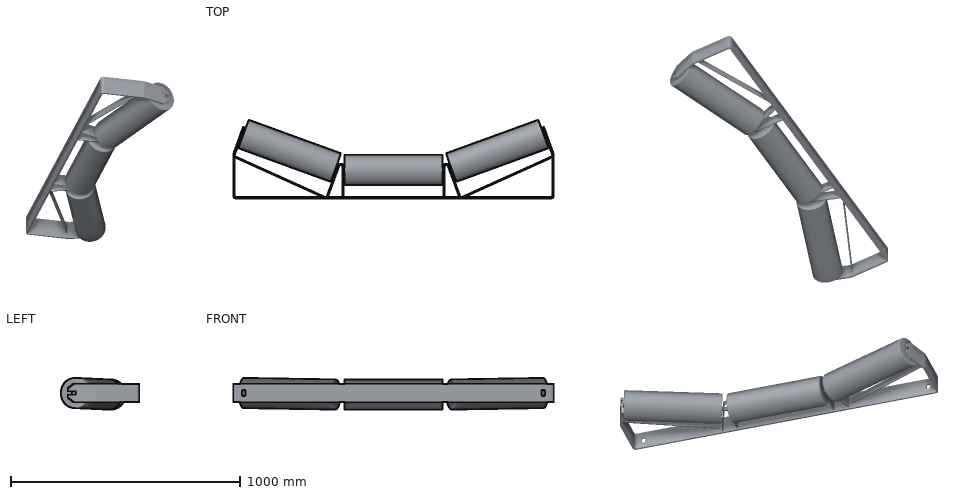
import cadquery as cq
import math


frame_length = 1400.0
frame_width = 80.0
frame_plate = 8.0
bend_radius = 6.0
trough_angle = 20.0
upright_bend_y = 192.5
upright_tip_y = 312.4
tip_chamfer_along = 26.0
tip_chamfer_across = 19.0

bolt_slot_inset = 47.0
bolt_slot_width = 17.0
bolt_slot_length = 26.0

roller_diameter = 133.0
roller_length = 428.0
roller_edge_radius = 4.0
shaft_diameter = 20.0
shaft_flats = 16.0
slot_clearance = 0.5
forward_drop = 7.0
middle_roller_y = 125.5
wing_roller_top_y = 342.89

middle_gap = 4.0
wing_outer_gap = 5.0
wing_inner_gap = 5.5

bracket_plate = 6.0
bracket_height = 50.0
bracket_top_y = 153.0

brace_thickness = 5.0
brace_height = 30.0
brace_top_y = 185.0
brace_foot_x = -300.0

half_length = frame_length / 2
roller_radius = roller_diameter / 2
slope = math.radians(trough_angle)
slope_sin = math.sin(slope)
slope_cos = math.cos(slope)
slope_tan = math.tan(slope)

middle_stub = middle_gap + bracket_plate
wing_outer_stub = wing_outer_gap + frame_plate
wing_inner_stub = wing_inner_gap + bracket_plate


def upright_face_x(y):
    """X of the outer face of the leaning part of the left upright."""
    return -half_length + (y - upright_bend_y) * slope_tan


middle_seat = cq.Plane((0, middle_roller_y, -forward_drop), xDir=(1, 0, 0), normal=(0, 0, 1))

wing_end_y = (
    wing_roller_top_y
    - roller_edge_radius
    - (roller_radius - roller_edge_radius) * slope_cos
    + (roller_edge_radius + wing_outer_stub) * slope_sin
)
wing_tilt = math.asin(forward_drop / (wing_outer_stub + roller_length + wing_inner_stub))
wing_axis = cq.Vector(
    slope_cos * math.cos(wing_tilt),
    -slope_sin * math.cos(wing_tilt),
    -math.sin(wing_tilt),
)
wing_outer_end = cq.Vector(upright_face_x(wing_end_y), wing_end_y, 0)
wing_center = wing_outer_end + wing_axis * (wing_outer_stub + roller_length / 2)
wing_inner_end = wing_center + wing_axis * (roller_length / 2 + wing_inner_stub)
wing_slot_direction = cq.Vector(slope_sin, slope_cos, 0)
wing_seat = cq.Plane(wing_center, xDir=wing_axis, normal=wing_axis.cross(wing_slot_direction))


def mirrored(body):
    return body.mirror("YZ")


def placed(body, seat):
    """Move a body built along the X axis onto a roller seat."""
    return cq.Workplane(body.val().moved(cq.Location(seat)))


def rod(diameter, length):
    """Cylinder along X, centred on the origin."""
    return cq.Workplane("YZ", origin=(-length / 2, 0, 0)).circle(diameter / 2).extrude(length)


def rounded(body, points, radius):
    """Round the Z edges whose midpoints are given."""
    for point in points:
        body = body.edges(cq.selectors.NearestToPointSelector(point)).fillet(radius)
    return body


def make_roller(seat, left_stub, right_stub):
    """Roller with rounded rims and a shaft flattened on its two Z sides."""
    shell = rod(roller_diameter, roller_length).faces("<X or >X").edges().fillet(roller_edge_radius)
    shaft_length = left_stub + roller_length + right_stub
    flats = cq.Workplane("XY").box(shaft_length, shaft_diameter, shaft_flats)
    shaft = rod(shaft_diameter, shaft_length).intersect(flats)
    shaft = shaft.translate(((right_stub - left_stub) / 2, 0, 0))
    return placed(shell.union(shaft), seat)


def shaft_slots(seat):
    """Cutter for the slots, open at the top, that hold the two shaft ends of one roller."""
    width = shaft_flats + 2 * slot_clearance
    bore_diameter = shaft_diameter + 2 * slot_clearance
    reach = roller_length + roller_diameter
    floor = rod(bore_diameter, reach).intersect(cq.Workplane("XY").box(reach, bore_diameter, width))
    mouth = cq.Workplane("XY").box(reach, roller_diameter, width, centered=(True, False, True))
    return placed(floor.union(mouth), seat)


def tip_corner(tip, side):
    """Cutter for one chamfered corner of the left upright's tip, on the +Z or -Z side."""
    leaning_face = cq.Plane(
        (*tip, 0), xDir=(slope_sin, slope_cos, 0), normal=(slope_cos, -slope_sin, 0)
    )
    edge = side * frame_width / 2
    return (
        cq.Workplane(leaning_face)
        .polyline([
            (0, edge),
            (-tip_chamfer_along, edge),
            (0, edge - side * tip_chamfer_across),
        ])
        .close()
        .extrude(frame_plate)
    )


def make_frame():
    """Base strip with both ends bent up into uprights whose tops lean along the wing roller ends."""
    wall_x = -half_length + frame_plate
    inner_bend_y = upright_bend_y - frame_plate * math.tan(slope / 2)
    tip = (upright_face_x(upright_tip_y), upright_tip_y)
    tip_inner = (tip[0] + frame_plate * slope_cos, tip[1] - frame_plate * slope_sin)
    half = (
        cq.Workplane("XY")
        .polyline([
            (0, 0),
            (-half_length, 0),
            (-half_length, upright_bend_y),
            tip,
            tip_inner,
            (wall_x, inner_bend_y),
            (wall_x, frame_plate),
            (0, frame_plate),
        ])
        .close()
        .extrude(frame_width / 2, both=True)
    )
    outer_bends = [(-half_length, 0, 0), (-half_length, upright_bend_y, 0)]
    inner_bends = [(wall_x, frame_plate, 0), (wall_x, inner_bend_y, 0)]
    half = rounded(half, outer_bends, bend_radius + frame_plate)
    half = rounded(half, inner_bends, bend_radius)

    for side in (-1, 1):
        half = half.cut(tip_corner(tip, side))

    bolt_slot = (
        cq.Workplane("XZ")
        .center(-half_length + bolt_slot_inset, 0)
        .slot2D(bolt_slot_length, bolt_slot_width, 90)
        .extrude(-frame_plate)
    )
    half = half.cut(bolt_slot).cut(shaft_slots(wing_seat))
    return half.union(mirrored(half))


def make_bracket():
    """Left inner bracket: a post for the middle roller, folded over into a leg for the wing roller."""
    def leg_near_x(y):
        """X of the leg's face toward the post."""
        return wing_inner_end.x + (y - wing_inner_end.y) * slope_tan

    def leg_far_x(y):
        """X of the leg's face toward the wing roller."""
        return leg_near_x(y) - bracket_plate / slope_cos

    foot_y = frame_plate
    ceiling_y = bracket_top_y - bracket_plate
    post_x = -roller_length / 2 - middle_gap
    post_back_x = post_x - bracket_plate
    bracket = (
        cq.Workplane("XY", origin=(0, 0, -forward_drop))
        .polyline([
            (post_x, foot_y),
            (post_x, bracket_top_y),
            (leg_far_x(bracket_top_y), bracket_top_y),
            (leg_far_x(foot_y), foot_y),
            (leg_near_x(foot_y), foot_y),
            (leg_near_x(ceiling_y), ceiling_y),
            (post_back_x, ceiling_y),
            (post_back_x, foot_y),
        ])
        .close()
        .extrude(bracket_height / 2, both=True)
    )
    outer_bends = [
        (post_x, bracket_top_y, -forward_drop),
        (leg_far_x(bracket_top_y), bracket_top_y, -forward_drop),
    ]
    inner_bends = [
        (leg_near_x(ceiling_y), ceiling_y, -forward_drop),
        (post_back_x, ceiling_y, -forward_drop),
    ]
    bracket = rounded(bracket, outer_bends, bend_radius + bracket_plate)
    bracket = rounded(bracket, inner_bends, bend_radius)
    return bracket.cut(shaft_slots(wing_seat)).cut(shaft_slots(middle_seat))


def make_brace():
    """Left flat bar from the upright down to the base, its ends cut to lie on both."""
    wall_x = -half_length + frame_plate
    run = brace_foot_x - wall_x
    rise = brace_top_y - frame_plate
    span = math.hypot(run, rise)
    wall_cut = brace_thickness * span / run
    foot_cut = brace_thickness * span / rise
    return (
        cq.Workplane("XY")
        .polyline([
            (wall_x, brace_top_y),
            (brace_foot_x, frame_plate),
            (brace_foot_x - foot_cut, frame_plate),
            (wall_x, brace_top_y - wall_cut),
        ])
        .close()
        .extrude(brace_height / 2, both=True)
    )


frame = make_frame()
middle_roller = make_roller(middle_seat, middle_stub, middle_stub)
wing_roller = make_roller(wing_seat, wing_outer_stub, wing_inner_stub)
bracket = make_bracket()
brace = make_brace()

bodies = [*frame.solids().vals(), *middle_roller.solids().vals()]
for left_body in (wing_roller, bracket, brace):
    bodies.extend(left_body.solids().vals())
    bodies.extend(mirrored(left_body).solids().vals())

result = cq.Compound.makeCompound(bodies)